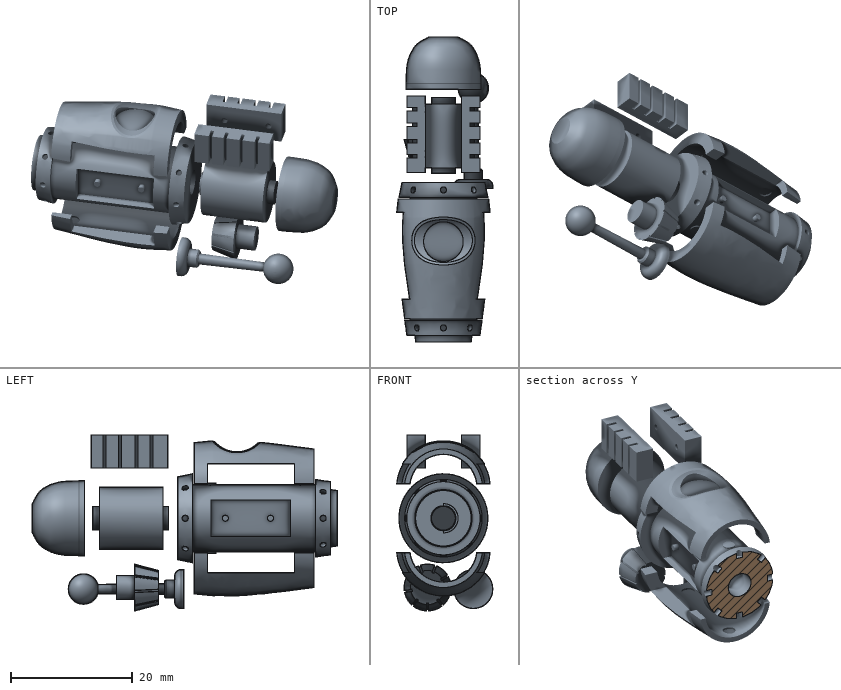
import cadquery as cq
import math


core_radius = 5.55
boss_length = 1.1
boss_front_radius = 4.6
boss_rear_radius = 4.75
collar_length = 2.45
front_collar_rear = boss_length + collar_length
front_collar_small_radius = 6.05
front_collar_large_radius = 6.4
core_length = 26.35
rear_collar_front = core_length - collar_length
rear_collar_large_radius = 7.35
rear_collar_small_radius = 6.85
bore_radius = 2.05
bore_relief_radius = 2.4
bore_relief_depth = 0.1
collar_hole_count = 8
collar_hole_radius = 0.5
collar_hole_depth = 1.0

seat_front = 7.75
seat_rear = 20.85
seat_height = 6.0
seat_floor_x = 3.15
peg_places = (11.05, 18.5)
peg_radius = 0.5
peg_length = 0.9

button_places = (6.1, 21.0)
button_radius = 1.0
button_rise = 0.25
button_clearance = 0.05

shell_offset = 5.0
shell_front = 3.85
shell_rear = 23.6
shell_edge_height = 5.7
shell_front_radius = 6.45
shell_rear_radius = 7.5
shell_waist = (7.35, 10.9)
shell_peak = (7.85, 17.8)
shell_reach = 20.15
window_front = 7.1
window_rear = 21.4
window_top = 8.95

scoop_y = 16.55
scoop_bottom = 11.0
scoop_radius = 4.9
scoop_chamfer = 0.25
scoop_floor = 10.9
scoop_floor_radius = 3.25

block_inner_x = 2.95
block_outer_x = 6.05
block_front = 27.95
block_length = 12.7
block_bottom = 8.25
block_top = 13.75
block_shift = 20.0
slot_places = (2.7, 5.2, 7.9, 10.5)
slot_width = 0.55
slot_depth = 1.65
peg_hole_depth = 1.0

motor_front = 28.75
motor_rear = 39.3
motor_radius = 5.15
shaft_front = 27.85
shaft_rear = 40.4
shaft_radius = 1.95

cap_front = 41.7
cap_rear = 50.35
cap_rim_length = 0.95
cap_radius = 6.2
cap_flat_radius = 2.35
cap_shoulder = (5.55, 47.4)
cap_crown = (4.7, 48.85)
cap_end_slope = 0.5

knob_x = -2.6
knob_z = -11.45
knob_front = 29.5
knob_hub_front = 33.45
knob_rear = 36.45
knob_front_radius = 2.8
knob_rear_radius = 3.9
knob_hub_radius = 2.0
knob_groove_count = 9
knob_groove_first_angle = 30.0
knob_groove_width = 0.35
knob_groove_depth = 0.25

stick_x = 4.95
stick_z = -11.7
stick_foot_front = 25.35
stick_foot_radius = 3.2
stick_foot_rim = 0.45
stick_foot_rear = 26.85
stick_foot_fillet = stick_foot_rear - stick_foot_front - stick_foot_rim
stick_collar_rear = 28.55
stick_collar_radius = 1.5
stick_collar_chamfer = 0.25
stick_rod_front_radius = 0.9
stick_rod_rear_radius = 0.75
ball_y = 41.9
ball_radius = 2.5


def revolve_about_y(outline, x=0, z=0):
    """Turn an outline drawn in (radius, y) around a line parallel to Y."""
    solid = outline.close().revolve(360, (0, 0, 0), (0, 1, 0))
    return solid.translate((x, 0, z))


def cylinder(start, direction, radius, length):
    return cq.Workplane(obj=cq.Solid.makeCylinder(radius, length, cq.Vector(*start), cq.Vector(*direction)))


def box(x_range, y_range, z_range):
    size = [high - low for low, high in (x_range, y_range, z_range)]
    corner = (x_range[0], y_range[0], z_range[0])
    return cq.Workplane().box(*size, centered=False).translate(corner)


def collar_holes(y, front_radius, rear_radius):
    """A ring of blind radial holes round the middle of a collar."""
    bottom_radius = (front_radius + rear_radius) / 2 - collar_hole_depth
    hole = cylinder((0, y, bottom_radius), (0, 0, 1), collar_hole_radius, 2 * collar_hole_depth)
    ring = cq.Workplane()
    for index in range(collar_hole_count):
        ring = ring.add(hole.rotate((0, 0, 0), (0, 1, 0), index * 360 / collar_hole_count))
    return ring.combine()


def button_plugs(radius, top_radius):
    """Round plugs above and below the main axis, crowned to top_radius."""
    crown = cylinder((0, 0, 0), (0, 1, 0), top_radius, core_length)
    plugs = cq.Workplane()
    for y in button_places:
        for side in (1, -1):
            plugs = plugs.add(cylinder((0, y, 0), (0, 0, side), radius, 2 * core_radius))
    return plugs.combine().intersect(crown)


def make_core():
    outline = (
        cq.Workplane()
        .moveTo(0, 0)
        .lineTo(boss_front_radius, 0)
        .lineTo(boss_rear_radius, boss_length)
        .lineTo(front_collar_small_radius, boss_length)
        .lineTo(front_collar_large_radius, front_collar_rear)
        .lineTo(core_radius, front_collar_rear)
        .lineTo(core_radius, rear_collar_front)
        .lineTo(rear_collar_large_radius, rear_collar_front)
        .lineTo(rear_collar_small_radius, core_length)
        .lineTo(0, core_length)
    )
    core = revolve_about_y(outline)
    core = core.union(button_plugs(button_radius, core_radius + button_rise))
    core = core.cut(cylinder((0, 0, 0), (0, 1, 0), bore_radius, core_length))

    relief = cylinder((0, 0, 0), (0, 1, 0), bore_relief_radius, bore_relief_depth)
    right_half = box((0, core_radius), (0, core_length), (-core_radius, core_radius))
    core = core.cut(relief.intersect(right_half))

    front_middle = boss_length + collar_length / 2
    rear_middle = core_length - collar_length / 2
    core = core.cut(collar_holes(front_middle, front_collar_small_radius, front_collar_large_radius))
    core = core.cut(collar_holes(rear_middle, rear_collar_large_radius, rear_collar_small_radius))

    seat = box((seat_floor_x, 2 * core_radius), (seat_front, seat_rear), (-seat_height / 2, seat_height / 2))
    core = core.cut(seat).cut(seat.mirror("YZ"))
    for y in peg_places:
        for side in (1, -1):
            core = core.union(cylinder((side * seat_floor_x, y, 0), (side, 0, 0), peg_radius, peg_length))
    return core


def make_plain_shell():
    """The upper shell before the scoop: a barrel segment with a window through its sides."""
    outline = (
        cq.Workplane()
        .moveTo(core_radius, shell_front)
        .lineTo(shell_front_radius, shell_front)
        .spline([shell_waist, shell_peak, (shell_rear_radius, shell_rear)], includeCurrent=True)
        .lineTo(core_radius, shell_rear)
    )
    shell = revolve_about_y(outline, z=shell_offset)
    across = (-shell_reach, shell_reach)
    shell = shell.cut(box(across, (0, core_length), (-shell_reach, shell_edge_height)))
    shell = shell.cut(box(across, (window_front, window_rear), (0, window_top)))
    recess_top = core_radius + button_rise + button_clearance
    recesses = button_plugs(button_radius + button_clearance, recess_top)
    return shell.cut(recesses.translate((0, 0, shell_offset)))


def make_upper_shell():
    scoop_axis_z = scoop_bottom + scoop_radius
    scoop = cylinder((-shell_reach, scoop_y, scoop_axis_z), (1, 0, 0), scoop_radius, 2 * shell_reach)
    shell = make_plain_shell().cut(scoop)
    in_scoop = cq.selectors.BoxSelector(
        (-shell_reach, scoop_y - scoop_radius, scoop_bottom - scoop_chamfer),
        (shell_reach, scoop_y + scoop_radius, scoop_axis_z),
        boundingbox=True,
    )
    shell = shell.edges(in_scoop).chamfer(scoop_chamfer)
    return shell.cut(cylinder((0, scoop_y, scoop_floor), (0, 0, 1), scoop_floor_radius, scoop_radius))


def make_lower_shell():
    return make_plain_shell().mirror("XY")


def make_block():
    """The +X block: slots across its outer face, peg holes in its inner face."""
    block = box(
        (block_inner_x, block_outer_x),
        (block_front, block_front + block_length),
        (block_bottom, block_top),
    )
    for place in slot_places:
        middle = block_front + place
        block = block.cut(
            box(
                (block_outer_x - slot_depth, block_outer_x),
                (middle - slot_width / 2, middle + slot_width / 2),
                (block_bottom, block_top),
            )
        )
    block_middle_z = (block_bottom + block_top) / 2
    for y in peg_places:
        hole_start = (block_inner_x, y + block_shift, block_middle_z)
        block = block.cut(cylinder(hole_start, (1, 0, 0), peg_radius, peg_hole_depth))
    return block


def make_motor():
    body = cylinder((0, motor_front, 0), (0, 1, 0), motor_radius, motor_rear - motor_front)
    shaft = cylinder((0, shaft_front, 0), (0, 1, 0), shaft_radius, shaft_rear - shaft_front)
    return body.union(shaft)


def make_cap():
    rim_rear = cap_front + cap_rim_length
    dome = [cap_shoulder, cap_crown, (cap_flat_radius, cap_rear)]
    outline = (
        cq.Workplane()
        .moveTo(0, cap_front)
        .lineTo(cap_radius, cap_front)
        .lineTo(cap_radius, rim_rear)
        .spline(dome, tangents=[(0, 1), (-1, cap_end_slope)], includeCurrent=True)
        .lineTo(0, cap_rear)
    )
    return revolve_about_y(outline)


def make_knob():
    outline = (
        cq.Workplane()
        .moveTo(0, knob_front)
        .lineTo(knob_front_radius, knob_front)
        .lineTo(knob_rear_radius, knob_hub_front)
        .lineTo(knob_hub_radius, knob_hub_front)
        .lineTo(knob_hub_radius, knob_rear)
        .lineTo(0, knob_rear)
    )
    knob = revolve_about_y(outline)
    groove = (
        cq.Workplane("XY", origin=(0, 0, -knob_groove_width / 2))
        .moveTo(knob_front_radius - knob_groove_depth, knob_front)
        .lineTo(knob_rear_radius - knob_groove_depth, knob_hub_front)
        .lineTo(2 * knob_rear_radius, knob_hub_front)
        .lineTo(2 * knob_rear_radius, knob_front)
        .close()
        .extrude(knob_groove_width)
    )
    for index in range(knob_groove_count):
        angle = knob_groove_first_angle + index * 360 / knob_groove_count
        knob = knob.cut(groove.rotate((0, 0, 0), (0, 1, 0), -angle))
    return knob.translate((knob_x, 0, knob_z))


def make_stick():
    fillet_middle = stick_foot_fillet * math.sqrt(0.5)
    fillet_centre_radius = stick_foot_radius - stick_foot_fillet
    fillet_centre_y = stick_foot_front + stick_foot_rim
    outline = (
        cq.Workplane()
        .moveTo(0, stick_foot_front)
        .lineTo(stick_foot_radius, stick_foot_front)
        .lineTo(stick_foot_radius, fillet_centre_y)
        .threePointArc(
            (fillet_centre_radius + fillet_middle, fillet_centre_y + fillet_middle),
            (fillet_centre_radius, stick_foot_rear),
        )
        .lineTo(stick_collar_radius, stick_foot_rear)
        .lineTo(stick_collar_radius, stick_collar_rear - stick_collar_chamfer)
        .lineTo(stick_collar_radius - stick_collar_chamfer, stick_collar_rear)
        .lineTo(stick_rod_front_radius, stick_collar_rear)
        .lineTo(stick_rod_rear_radius, ball_y)
        .lineTo(0, ball_y)
    )
    ball = cq.Workplane().sphere(ball_radius).translate((stick_x, ball_y, stick_z))
    return revolve_about_y(outline, stick_x, stick_z).union(ball)


core = make_core()
upper_shell = make_upper_shell()
lower_shell = make_lower_shell()
right_block = make_block()
left_block = right_block.mirror("YZ")
motor = make_motor()
cap = make_cap()
knob = make_knob()
stick = make_stick()

bodies = (core, upper_shell, lower_shell, right_block, left_block, motor, cap, knob, stick)
result = cq.Compound.makeCompound([body.val() for body in bodies])